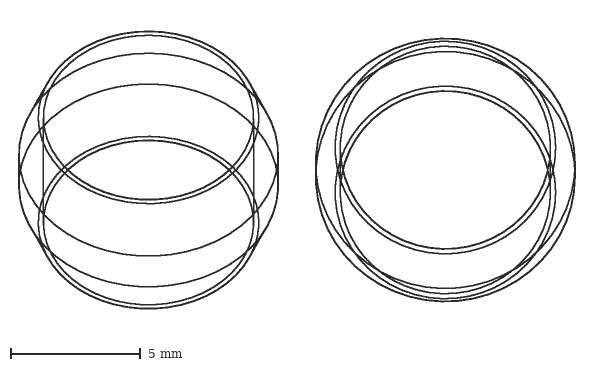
import cadquery as cq

outer_diameter = 10.0
bore_diameter = 8.1
end_diameter = 8.5
total_height = 6.5
taper_height = 2.3

outer_radius = outer_diameter / 2
bore_radius = bore_diameter / 2
end_radius = end_diameter / 2
band_top = total_height - taper_height

half_section = (
    cq.Workplane("XZ")
    .moveTo(bore_radius, 0)
    .lineTo(end_radius, 0)
    .lineTo(outer_radius, taper_height)
    .lineTo(outer_radius, band_top)
    .lineTo(end_radius, total_height)
    .lineTo(bore_radius, total_height)
    .close()
)

result = half_section.revolve(360, (0, 0, 0), (0, 1, 0))